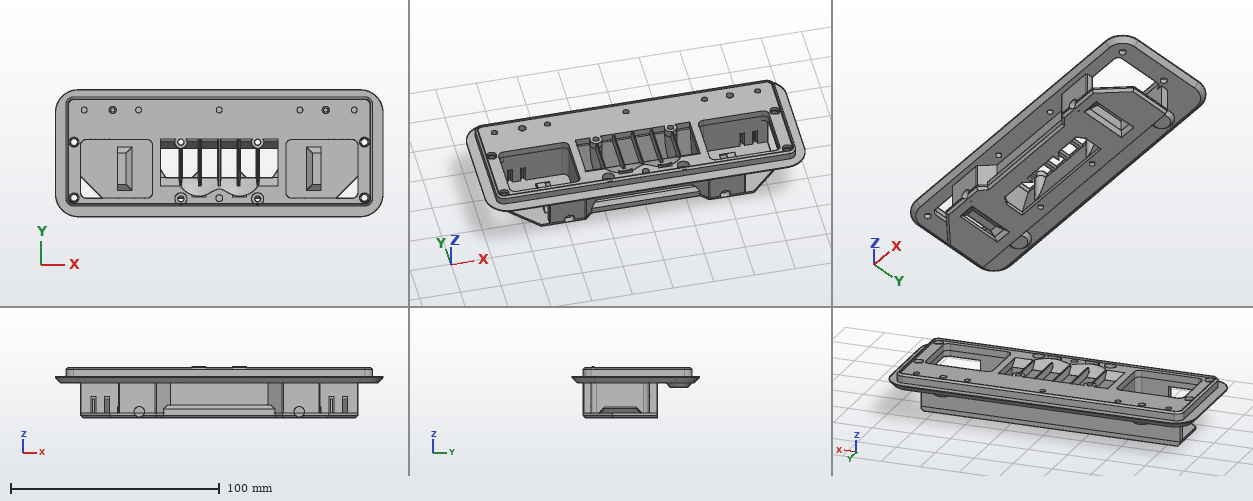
import cadquery as cq
BASE_TOP = 2.4
FLANGE_BOTTOM = 16.8
FLANGE_TOP = 19.8
COVER_TOP = 23.2
LIP_TOP = 24.2
RIM_TOP = 24.6

FLANGE_LENGTH = 157.0
FLANGE_WIDTH = 60.9
FLANGE_RADIUS = 11.0
FLANGE_LAND = 0.5
COVER_HALF_LENGTH = 73.5
COVER_BACK = 27.0
COVER_RADIUS = 3.8
LIP_WIDTH = 1.3
LIP_CHAMFER = 1.0

WALL = 3.8
FRONT = -25.3
BACK = 10.4
HALF_LENGTH = 66.4
FRONT_WALL_OUTER_X = 48.2
FRONT_WALL_INNER_X = 30.3
WALL_EDGE_CHAMFER = 0.5
CENTER_FRONT = -18.4
POCKET_INNER_X = 31.9
POCKET_FRONT = FRONT + WALL
POCKET_BACK = BACK - WALL
POCKET_RADIUS = 2.8
POCKET_LENGTH = HALF_LENGTH - POCKET_INNER_X
POCKET_WIDTH = POCKET_BACK - POCKET_FRONT
POCKET_X = (HALF_LENGTH + POCKET_INNER_X) / 2
POCKET_Y = (POCKET_FRONT + POCKET_BACK) / 2
SLANT_RUN = CENTER_FRONT - FRONT
CENTER_HALF_LENGTH = FRONT_WALL_INNER_X - SLANT_RUN

GROOVE_X = [53.9, 60.3]
GROOVE_WIDTH = 2.4
GROOVE_DEPTH = 1.3
GROOVE_TOP = 10.4
SLOT_WIDTH = 1.0
SLOT_DEPTH = 2.5
SLOT_TOP = 9.1
CABLE_HOLE_X = 38.3
CABLE_HOLE_Z = 3.0
CABLE_HOLE_DIAMETER = 5.0

WINDOW_HALF_LENGTH = POCKET_INNER_X - WALL
WINDOW_BACK = 6.9
WINDOW_FRONT = -15.7
FUNNEL_BACK = 6.0
OPENING_BACK = 2.2
OPENING_FRONT = -11.6
OPENING_CORNER_X = 2.5
OPENING_CORNER_Y = 4.0
RIB_SPACING = 9.3
RIB_COUNT = 5
RIB_WIDTH = 1.7
RIB_TOP_WIDTH = 0.6
TAB_LENGTH = 3.8

SCOOP_X = 9.7
SCOOP_FRONT = -20.5
SCOOP_SHOULDER_X = 5.0
SCOOP_SHOULDER_Y = -19.2
SCOOP_BRIDGE_Y = -17.1
SCOOP_END_X = 18.4
SCOOP_END_Y = -16.0
SCOOP_FOOT_Y = -11.8
RIM_LENGTH = 6.6
RIM_WIDTH = 1.3

BACK_ROW_Y = 20.7
BLIND_X = [-64.7, -38.6, 0.0, 38.6, 64.7]
BLIND_DIAMETER = 2.8
BLIND_DEPTH = 3.1
FRONT_BLIND_Y = -21.5
FRONT_BLIND_DIAMETER = 3.3
INSERT_X = 51.0
INSERT_DIAMETER = 3.5
INSERT_PILOT_DIAMETER = 2.0
INSERT_FLOOR = 15.7
INSERT_BOSS_BOTTOM = 14.6
INSERT_BOSS_DIAMETER = 12.2
INSERT_BOSS_TIP_DIAMETER = 8.5
CORNER_X = 69.5
CORNER_Y = [5.3, -21.4]
CORNER_DIAMETER = 3.3
CORNER_BORE_DIAMETER = 4.7
CORNER_BORE_DEPTH = 1.5
SCREW_X = 18.4
SCREW_BACK_Y = 5.3
SCREW_DIAMETER = 2.8
SCREW_BOSS_DIAMETER = 6.0
SCREW_FRONT_Y = -21.8
SCREW_BORE_DIAMETER = 5.8

BASE_CHAMFER = 1.3
BASE_CORNER = 14.1
BAR_FRONT = -21.7
BAR_TOP = 6.1
BAR_CHAMFER = 1.9

HOOD_OPEN_X = 48.7
HOOD_RIDGE_LENGTH = 4.1
HOOD_Y = -7.4
HOOD_RIDGE_WIDTH = 15.0
HOOD_HEIGHT = 2.8
HOOD_SKIN = 0.6

SIDES = [-1, 1]


def drill(points, diameter, bottom, top):
    """Vertical cylinders between two heights."""
    circles = cq.Workplane().workplane(offset=bottom).pushPoints(points).circle(diameter / 2)
    return circles.extrude(top - bottom)


def mirrored(points):
    """Outline symmetric about x = 0, given its left half."""
    return points + [(-x, y) for x, y in reversed(points)]


def block(x_min, x_max, y_min, y_max, bottom, top):
    size = (x_max - x_min, y_max - y_min, top - bottom)
    return cq.Workplane().box(*size, centered=False).translate((x_min, y_min, bottom))


def pockets(bottom, top):
    """Rounded square openings, one on each side."""
    centers = [(side * POCKET_X, POCKET_Y) for side in SIDES]
    tool = cq.Workplane().workplane(offset=bottom).pushPoints(centers)
    tool = tool.rect(POCKET_LENGTH, POCKET_WIDTH).extrude(top - bottom)
    return tool.edges("|Z").fillet(POCKET_RADIUS)


def funnel():
    """Window space, sloped at the front of the cover and narrowing behind towards the base plate."""
    outline = [
        (WINDOW_FRONT, COVER_TOP),
        (OPENING_FRONT, FLANGE_TOP),
        (OPENING_FRONT, BASE_TOP),
        (OPENING_BACK, BASE_TOP),
        (FUNNEL_BACK, FLANGE_TOP),
        (WINDOW_BACK, FLANGE_TOP),
        (WINDOW_BACK, COVER_TOP),
    ]
    return cq.Workplane("YZ").polyline(outline).close().extrude(WINDOW_HALF_LENGTH, both=True)


def finger_scoops():
    """Two round bites in the front edge of the window, sloping down to a straight foot."""
    left_half = [
        (-SCOOP_END_X, SCOOP_END_Y),
        (-SCOOP_X - SCOOP_SHOULDER_X, SCOOP_SHOULDER_Y),
        (-SCOOP_X, SCOOP_FRONT),
        (-SCOOP_X + SCOOP_SHOULDER_X, SCOOP_SHOULDER_Y),
    ]
    right_half = [(-x, y) for x, y in reversed(left_half)]
    front_edge = left_half + [(0, SCOOP_BRIDGE_Y)] + right_half
    inner_edge = [(SCOOP_END_X, OPENING_BACK), (-SCOOP_END_X, OPENING_BACK)]
    top = cq.Workplane().workplane(offset=COVER_TOP).spline(front_edge)
    top_wire = top.lineTo(*inner_edge[0]).lineTo(*inner_edge[1]).close().val()
    foot = [(-SCOOP_END_X, SCOOP_FOOT_Y), (SCOOP_END_X, SCOOP_FOOT_Y)]
    foot_wire = cq.Workplane().workplane(offset=FLANGE_TOP).polyline(foot + inner_edge).close().val()
    slope = cq.Workplane(cq.Solid.makeLoft([foot_wire, top_wire], True))
    above = cq.Workplane().add(top_wire).toPending().extrude(RIM_TOP - COVER_TOP)
    return slope.union(above)


def screw_points(y):
    return [(side * SCREW_X, y) for side in SIDES]


def screw_bosses(bottom, top):
    return drill(screw_points(SCREW_BACK_Y), SCREW_BOSS_DIAMETER, bottom, top)


def screw_holes(y):
    return drill(screw_points(y), SCREW_DIAMETER, 0, COVER_TOP)


def corner_points():
    return [(side * CORNER_X, y) for side in SIDES for y in CORNER_Y]


def insert_points():
    return [(side * INSERT_X, BACK_ROW_Y) for side in SIDES]


def ribs():
    """Thin bars across the window, widening downwards."""
    foot, top = RIB_WIDTH / 2, RIB_TOP_WIDTH / 2
    section = [(-foot, FLANGE_TOP), (-top, COVER_TOP), (top, COVER_TOP), (foot, FLANGE_TOP)]
    bar = cq.Workplane("XZ", origin=(0, WINDOW_BACK, 0)).polyline(section).close()
    bar = bar.extrude(WINDOW_BACK - WINDOW_FRONT)
    bars = cq.Workplane()
    for index in range(RIB_COUNT):
        bars = bars.union(bar.translate(((index - (RIB_COUNT - 1) / 2) * RIB_SPACING, 0, 0)))
    return bars


def make_cover():
    cover = block(-COVER_HALF_LENGTH, COVER_HALF_LENGTH, FRONT, COVER_BACK, FLANGE_TOP, LIP_TOP)
    cover = cover.edges("|Z").fillet(COVER_RADIUS).faces(">Z").chamfer(LIP_CHAMFER)
    inner = block(LIP_WIDTH - COVER_HALF_LENGTH, COVER_HALF_LENGTH - LIP_WIDTH,
                  FRONT + LIP_WIDTH, COVER_BACK - LIP_WIDTH, COVER_TOP, LIP_TOP)
    cover = cover.cut(inner.edges("|Z").fillet(COVER_RADIUS - LIP_WIDTH))
    for side in SIDES:
        rim_x = side * SCOOP_X
        rim = block(rim_x - RIM_LENGTH / 2, rim_x + RIM_LENGTH / 2,
                    SCOOP_FRONT - RIM_WIDTH / 4, SCOOP_FRONT + RIM_WIDTH, FLANGE_TOP, RIM_TOP)
        cover = cover.union(rim)
    cover = cover.cut(pockets(FLANGE_TOP, COVER_TOP)).cut(funnel()).cut(finger_scoops())
    cover = cover.union(ribs()).union(screw_bosses(FLANGE_TOP, COVER_TOP))

    back_row = [(x, BACK_ROW_Y) for x in BLIND_X]
    cover = cover.cut(drill(back_row, BLIND_DIAMETER, COVER_TOP - BLIND_DEPTH, COVER_TOP))
    front_blind = [(0, FRONT_BLIND_Y)]
    cover = cover.cut(drill(front_blind, FRONT_BLIND_DIAMETER, COVER_TOP - BLIND_DEPTH, COVER_TOP))
    cover = cover.cut(drill(insert_points(), INSERT_DIAMETER, FLANGE_TOP, COVER_TOP))
    cover = cover.cut(drill(corner_points(), CORNER_DIAMETER, FLANGE_TOP, COVER_TOP))
    cover = cover.cut(drill(corner_points(), CORNER_BORE_DIAMETER, COVER_TOP - CORNER_BORE_DEPTH, COVER_TOP))
    cover = cover.cut(drill(screw_points(SCREW_FRONT_Y), SCREW_BORE_DIAMETER, FLANGE_TOP, COVER_TOP))
    return cover.cut(screw_holes(SCREW_BACK_Y))


def flange():
    """Rounded flange whose edge slopes in at 45 degrees below a narrow upright land."""
    outline = cq.Sketch().rect(FLANGE_LENGTH, FLANGE_WIDTH).vertices().fillet(FLANGE_RADIUS)
    land_bottom = FLANGE_TOP - FLANGE_LAND
    land = cq.Workplane().workplane(offset=land_bottom).placeSketch(outline).extrude(FLANGE_LAND)
    slope = cq.Workplane().workplane(offset=land_bottom).placeSketch(outline)
    return land.union(slope.extrude(FLANGE_BOTTOM - land_bottom, taper=45))


def pod_walls():
    """Back wall, centre block and two short front walls under the flange."""
    outline = mirrored([
        (-HALF_LENGTH, BACK),
        (-HALF_LENGTH, POCKET_FRONT),
        (-FRONT_WALL_OUTER_X, POCKET_FRONT),
        (-FRONT_WALL_OUTER_X, FRONT),
        (-FRONT_WALL_INNER_X, FRONT),
        (-CENTER_HALF_LENGTH, CENTER_FRONT),
    ])
    walls = cq.Workplane().workplane(offset=BASE_TOP).polyline(outline).close()
    walls = walls.extrude(FLANGE_BOTTOM - BASE_TOP)
    front_edges = cq.selectors.BoxSelector((-HALF_LENGTH, FRONT - WALL / 2, 0),
                                           (HALF_LENGTH, FRONT + WALL / 2, COVER_TOP))
    return walls.edges("|Z").edges(front_edges).chamfer(WALL_EDGE_CHAMFER)


def insert_bosses():
    """Tapered bosses under the flange, around the threaded-insert holes."""
    height = FLANGE_BOTTOM - INSERT_BOSS_BOTTOM
    bosses = cq.Workplane()
    for x, y in insert_points():
        tip = cq.Vector(x, y, INSERT_BOSS_BOTTOM)
        cone = cq.Solid.makeCone(INSERT_BOSS_TIP_DIAMETER / 2, INSERT_BOSS_DIAMETER / 2, height, tip)
        bosses = bosses.union(cq.Workplane(cone))
    return bosses


def wall_groove(x, width, depth, top):
    """Upright groove in the inner face of the back wall."""
    return block(x - width / 2, x + width / 2, POCKET_BACK, POCKET_BACK + depth, BASE_TOP, top)


def cable_holes():
    """Round holes through the front walls, cutting into the base plate below them."""
    centers = [(side * CABLE_HOLE_X, CABLE_HOLE_Z) for side in SIDES]
    holes = cq.Workplane("XZ", origin=(0, POCKET_FRONT, 0)).pushPoints(centers)
    return holes.circle(CABLE_HOLE_DIAMETER / 2).extrude(WALL)


def make_housing():
    housing = flange().union(pod_walls()).union(insert_bosses())
    housing = housing.cut(pockets(BASE_TOP, FLANGE_TOP))
    for side in SIDES:
        open_end = block(FRONT_WALL_OUTER_X, HALF_LENGTH, POCKET_FRONT, POCKET_BACK, BASE_TOP, FLANGE_BOTTOM)
        housing = housing.cut(open_end if side > 0 else open_end.mirror("YZ"))
        for x in GROOVE_X:
            housing = housing.cut(wall_groove(side * x, GROOVE_WIDTH, GROOVE_DEPTH, GROOVE_TOP))
            housing = housing.cut(wall_groove(side * x, SLOT_WIDTH, SLOT_DEPTH, SLOT_TOP))
    housing = housing.cut(funnel()).union(screw_bosses(BASE_TOP, FLANGE_TOP))
    housing = housing.cut(cable_holes()).cut(screw_holes(SCREW_BACK_Y)).cut(screw_holes(SCREW_FRONT_Y))
    housing = housing.cut(drill(corner_points(), CORNER_DIAMETER, FLANGE_BOTTOM, FLANGE_TOP))
    return housing.cut(drill(insert_points(), INSERT_PILOT_DIAMETER, INSERT_FLOOR, FLANGE_TOP))


def front_bar():
    """Sloped bar filling the recess between the pods, along the front of the base plate."""
    profile = [
        (CENTER_FRONT, BASE_TOP),
        (BAR_FRONT, BASE_TOP),
        (BAR_FRONT, BAR_TOP - BAR_CHAMFER),
        (BAR_FRONT + BAR_CHAMFER, BAR_TOP),
        (CENTER_FRONT, BAR_TOP),
    ]
    bar = cq.Workplane("YZ").polyline(profile).close().extrude(FRONT_WALL_INNER_X, both=True)
    bar_end = CENTER_HALF_LENGTH + CENTER_FRONT - BAR_FRONT
    recess = mirrored([(-bar_end, BAR_FRONT), (-CENTER_HALF_LENGTH, CENTER_FRONT)])
    return bar.intersect(cq.Workplane().polyline(recess).close().extrude(BAR_TOP))


def base_opening():
    """Opening below the funnel, with cut front corners and two pointed tabs on its front edge."""
    outline = mirrored([
        (-WINDOW_HALF_LENGTH, OPENING_BACK),
        (-WINDOW_HALF_LENGTH, OPENING_FRONT + OPENING_CORNER_Y),
        (-WINDOW_HALF_LENGTH + OPENING_CORNER_X, OPENING_FRONT),
        (-RIB_SPACING - TAB_LENGTH, OPENING_FRONT),
        (-RIB_SPACING, OPENING_FRONT + TAB_LENGTH),
        (-RIB_SPACING, OPENING_FRONT),
    ])
    return cq.Workplane().polyline(outline).close().extrude(BASE_TOP)


def hood_shape(top, height):
    """Ramp with three 45 degree sides below a flat ridge, upright at its outer end."""
    bottom = top - height
    ridge = HOOD_RIDGE_LENGTH
    half_ridge = HOOD_RIDGE_WIDTH / 2
    half_foot = half_ridge + height
    ramp = [(0, bottom), (0, top), (ridge, top), (ridge + height, bottom)]
    across = [(-half_foot, bottom), (-half_ridge, top), (half_ridge, top), (half_foot, bottom)]
    hood = cq.Workplane("XZ").polyline(ramp).close().extrude(half_foot, both=True)
    hood = hood.intersect(cq.Workplane("YZ").polyline(across).close().extrude(ridge + height))
    return hood.translate((-HOOD_OPEN_X, HOOD_Y, 0))


def make_base_plate():
    bar_end = CENTER_HALF_LENGTH + CENTER_FRONT - BAR_FRONT
    outline = mirrored([
        (-HALF_LENGTH, BACK),
        (-HALF_LENGTH, FRONT + BASE_CORNER),
        (-HALF_LENGTH + BASE_CORNER, FRONT),
        (-FRONT_WALL_INNER_X, FRONT),
        (-bar_end, BAR_FRONT),
    ])
    base = cq.Workplane().polyline(outline).close().extrude(BASE_TOP)
    base = base.faces("<Z").edges("not(>Y)").chamfer(BASE_CHAMFER)
    base = base.union(front_bar()).cut(base_opening())
    hood = hood_shape(BASE_TOP + HOOD_HEIGHT, HOOD_HEIGHT)
    hollow_top = BASE_TOP + HOOD_HEIGHT - HOOD_SKIN
    hollow = hood_shape(hollow_top, hollow_top)
    for side in SIDES:
        base = base.union(hood if side < 0 else hood.mirror("YZ"))
        base = base.cut(hollow if side < 0 else hollow.mirror("YZ"))
    return base.cut(cable_holes()).cut(screw_holes(SCREW_BACK_Y))


cover = make_cover()
housing = make_housing()
base_plate = make_base_plate()

result = cq.Compound.makeCompound([cover.val(), housing.val(), base_plate.val()])